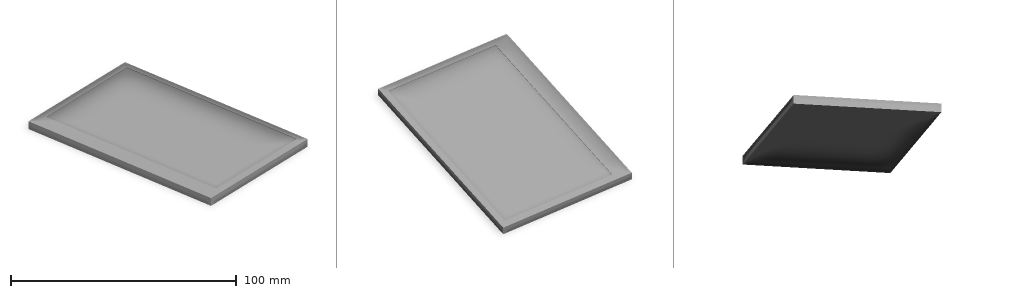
import cadquery as cq

length = 105.0
width = 67.0
thickness = 4.0

side_margin = 3.6
back_margin = 2.9
front_margin = 8.0
recess_depth = 0.26

window_length = length - 2 * side_margin
window_width = width - back_margin - front_margin
window_center_y = (front_margin - back_margin) / 2

plate = cq.Workplane("XY").box(length, width, thickness, centered=(True, True, False))

recess = (
    cq.Workplane("XY")
    .workplane(offset=thickness - recess_depth)
    .center(0, window_center_y)
    .rect(window_length, window_width)
    .extrude(recess_depth)
)

result = plate.cut(recess)